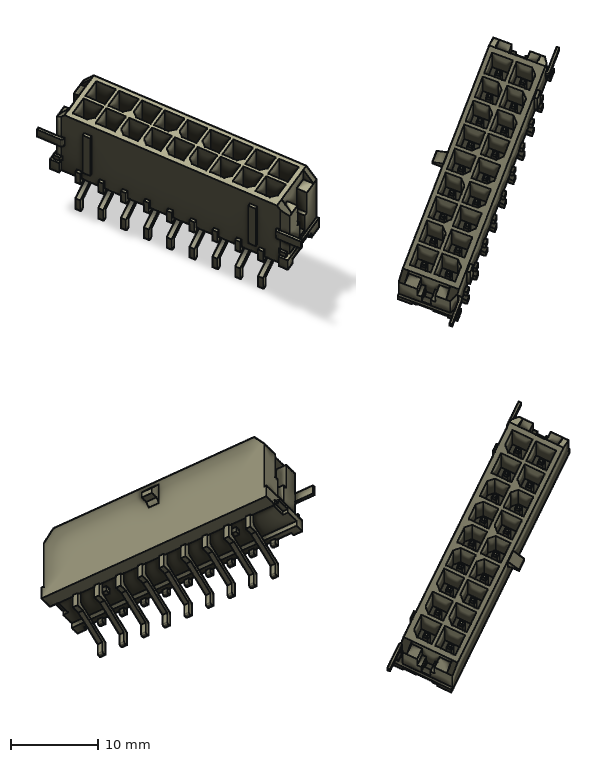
import cadquery as cq

COLUMNS = 9
PITCH = 3.0
ROW_Y = PITCH / 2

TOP_Z = 9.95
BACK_Y = 3.4
FRONT_Y = -3.5
BASE_TOP_Z = 1.65
CORE_HALF_X = 13.95
WALL_HALF_X = 15.3
SHOULDER_Z = 8.28
CORNER_X = 0.9
CORNER_Y = 0.55

RECESS_BACK_Y = 2.67
RECESS_FRONT_Y = -2.43
SLOT_HALF_WIDE = 1.1
SLOT_HALF_NARROW = 0.57
SLOT_STEP_Z = 4.78
SLOT_FLOOR_Z = 2.25
SLOT_POCKET_OUTER_X = 14.65
SLOT_POCKET_HALF_Y = 0.5
SLOT_POCKET_FLOOR_Z = BASE_TOP_Z

BASE_HALF_X = 15.63
BASE_FRONT_Y = -3.95
PAD_INNER_X = 14.4
CHANNEL_BACK_Y = 1.63
CHANNEL_FRONT_Y = -2.77
CHANNEL_TOP_Z = 0.73
END_NOTCH_HALF_Y = 1.0
END_NOTCH_TOP_Z = 1.25
END_NOTCH_DEPTH = 0.7

CAVITY = 2.55
CAVITY_FLOOR_Z = BASE_TOP_Z
KEY = 0.65
BACK_ROW_KEYS = "-RLRLLRR-"
FRONT_ROW_KEYS = "R-LLLLRRR"

PIN = 0.65
PIN_TOP_Z = 6.93
PIN_TIP = 0.3
PIN_TIP_HEIGHT = 0.5
LEAD_FACE_Y = -3.88
TIP_RADIUS = 0.25
FRONT_TAIL_TOP_Z = 1.28
FRONT_TAIL_BOTTOM_Z = -0.73
BACK_LEAD_BOTTOM_Z = -5.45
HEEL_Z = -1.87
HEEL_FRONT_Y = 0.73
BEND_Z = -1.0
BEND_RADIUS = 0.4
KNEE_REAR_Z = -3.85
KNEE_FRONT_Z = -3.43

RIB_X = 10.88
RIB_WIDTH = 0.97
LATCH_WIDTH = 1.42
LATCH_REACH = 1.42
LATCH_TOP_Z = 9.32
LATCH_RAMP_END_Z = 7.73
LATCH_CATCH_Z = 6.95
LATCH_GUSSET_Y = 0.5
LATCH_GUSSET_Z = 6.45
PEG_WIDTH = 0.62
PEG_X = 3 * PITCH

CLIP_INNER_X = 13.93
CLIP_OUTER_X = 17.32
CLIP_Z = (4.7, 5.95)
CLIP_THICKNESS = 0.35
HOOK_INNER_X = 14.17
HOOK_OUTER_X = 15.28
HOOK_Z = (1.87, 2.53)
HOOK_FRONT_Y = -3.8
HOOK_THICKNESS = 0.3
CLIP_ROOT_Y = -3.12

COLUMN_X = [(i - (COLUMNS - 1) / 2) * PITCH for i in range(COLUMNS)]


def box(x0, x1, y0, y1, z0, z1):
    """Box between two opposite corners."""
    return cq.Workplane("XY").box(x1 - x0, y1 - y0, z1 - z0, centered=False).translate((x0, y0, z0))


def yz_prism(points, width, x=0):
    """Outline in the YZ plane, extruded along X and centred on x."""
    return cq.Workplane("YZ").polyline(points).close().extrude(width / 2, both=True).translate((x, 0, 0))


def on_both_ends(solid):
    """The solid together with its mirror image at the other X end."""
    return solid.union(solid.mirror("YZ"))


def make_shell():
    """Cavity block with side walls that overhang both ends and slope in at the top."""
    profile = [
        (-WALL_HALF_X, 0),
        (WALL_HALF_X, 0),
        (WALL_HALF_X, SHOULDER_Z),
        (CORE_HALF_X, TOP_Z),
        (-CORE_HALF_X, TOP_Z),
        (-WALL_HALF_X, SHOULDER_Z),
    ]
    shell = cq.Workplane("XZ").polyline(profile).close().extrude(BACK_Y - FRONT_Y)
    shell = shell.translate((0, BACK_Y, 0))
    corner = cq.Workplane("XY").polyline([
        (WALL_HALF_X, FRONT_Y),
        (WALL_HALF_X - CORNER_X, FRONT_Y),
        (WALL_HALF_X, FRONT_Y + CORNER_Y),
    ]).close().extrude(TOP_Z)
    return shell.cut(on_both_ends(corner))


def make_end_recess():
    """Opening that narrows in steps from above the end posts to a slot with a pocket in its floor."""
    slot_levels = [
        (RECESS_FRONT_Y, RECESS_BACK_Y, SHOULDER_Z),
        (-SLOT_HALF_WIDE, SLOT_HALF_WIDE, SLOT_STEP_Z),
        (-SLOT_HALF_NARROW, SLOT_HALF_NARROW, SLOT_FLOOR_Z),
    ]
    recess = cq.Workplane("XY")
    for front, back, floor in slot_levels:
        recess = recess.union(box(CORE_HALF_X, BASE_HALF_X, front, back, floor, TOP_Z))
    pocket = box(CORE_HALF_X, SLOT_POCKET_OUTER_X, -SLOT_POCKET_HALF_Y, SLOT_POCKET_HALF_Y,
                 SLOT_POCKET_FLOOR_Z, SLOT_FLOOR_Z)
    recess = recess.union(pocket)
    return on_both_ends(recess)


def make_base():
    """Flange at the bottom, with a pad standing proud at each front corner."""
    base = box(-BASE_HALF_X, BASE_HALF_X, FRONT_Y + CORNER_Y, BACK_Y, 0, BASE_TOP_Z)
    pad = box(PAD_INNER_X, BASE_HALF_X, BASE_FRONT_Y, FRONT_Y + CORNER_Y, 0, BASE_TOP_Z)
    return base.union(on_both_ends(pad))


def make_underside_cut():
    """Channel along the underside and a shallow notch above it in each end."""
    channel = box(-BASE_HALF_X, BASE_HALF_X, CHANNEL_FRONT_Y, CHANNEL_BACK_Y, 0, CHANNEL_TOP_Z)
    notch = box(BASE_HALF_X - END_NOTCH_DEPTH, BASE_HALF_X,
                -END_NOTCH_HALF_Y, END_NOTCH_HALF_Y, 0, END_NOTCH_TOP_Z)
    return channel.union(on_both_ends(notch))


def make_cavity(x, y, key):
    """Square cavity with an optional chamfered front corner: L, R or - for none."""
    half = CAVITY / 2
    cavity = box(x - half, x + half, y - half, y + half, CAVITY_FLOOR_Z, TOP_Z)
    if key == "L":
        cavity = cavity.edges("|Z and <X and <Y").chamfer(KEY)
    elif key == "R":
        cavity = cavity.edges("|Z and >X and <Y").chamfer(KEY)
    return cavity


def make_pin(x, y):
    """Square pin standing in a cavity, with a tapered tip."""
    shoulder_z = PIN_TOP_Z - PIN_TIP_HEIGHT
    half = PIN / 2
    shank = box(x - half, x + half, y - half, y + half, CHANNEL_TOP_Z, shoulder_z)
    tip = (
        cq.Workplane("XY", origin=(x, y, shoulder_z)).rect(PIN, PIN)
        .workplane(offset=PIN_TIP_HEIGHT).rect(PIN_TIP, PIN_TIP).loft()
    )
    return shank.union(tip)


def make_front_tail(x):
    """Short straight tail on the front face, with a rounded tip."""
    tail = box(x - PIN / 2, x + PIN / 2, LEAD_FACE_Y, LEAD_FACE_Y + PIN,
               FRONT_TAIL_BOTTOM_Z, FRONT_TAIL_TOP_Z)
    return tail.edges("|X and <Z").fillet(TIP_RADIUS)


def make_back_lead(x):
    """Lead that drops from the back row, slopes forward and ends in a rounded straight tip."""
    rear_y = ROW_Y + PIN / 2
    fore_y = ROW_Y - PIN / 2
    tip_rear_y = LEAD_FACE_Y + PIN
    lead = yz_prism([
        (rear_y, CHANNEL_TOP_Z),
        (rear_y, HEEL_Z),
        (HEEL_FRONT_Y, HEEL_Z),
        (tip_rear_y, KNEE_REAR_Z),
        (tip_rear_y, BACK_LEAD_BOTTOM_Z),
        (LEAD_FACE_Y, BACK_LEAD_BOTTOM_Z),
        (LEAD_FACE_Y, KNEE_FRONT_Z),
        (fore_y, BEND_Z),
        (fore_y, CHANNEL_TOP_Z),
    ], PIN, x)
    lead = lead.edges("|X and <Z").fillet(TIP_RADIUS)
    inner_bend = cq.selectors.NearestToPointSelector((x, fore_y, BEND_Z))
    return lead.edges("|X").edges(inner_bend).fillet(BEND_RADIUS)


def make_latch():
    """Ramped latch at the middle of the back wall."""
    outer_y = BACK_Y + LATCH_REACH
    return yz_prism([
        (BACK_Y, LATCH_TOP_Z),
        (outer_y, LATCH_RAMP_END_Z),
        (outer_y, LATCH_CATCH_Z),
        (BACK_Y + LATCH_GUSSET_Y, LATCH_CATCH_Z),
        (BACK_Y, LATCH_GUSSET_Z),
    ], LATCH_WIDTH)


def make_ribs():
    """Upright rib near each end of the front face."""
    half = RIB_WIDTH / 2
    return on_both_ends(box(RIB_X - half, RIB_X + half, LEAD_FACE_Y, FRONT_Y, BASE_TOP_Z, SHOULDER_Z))


def make_pegs():
    """Square stand-off pegs in the underside channel."""
    half = PEG_WIDTH / 2
    return on_both_ends(box(PEG_X - half, PEG_X + half, -half, half, 0, CHANNEL_TOP_Z))


def make_bent_strip(inner_x, outer_x, front_y, thickness, z_range):
    """Strip lying along the front face whose inner end turns into the housing."""
    z0, z1 = z_range
    arm = box(inner_x, outer_x, front_y, front_y + thickness, z0, z1)
    root = box(inner_x, inner_x + thickness, front_y, CLIP_ROOT_Y, z0, z1)
    return arm.union(root)


def make_clips():
    """Solder clip and small hook at each end."""
    outer_bend = "|Z and <X and <Y"
    clip = make_bent_strip(CLIP_INNER_X, CLIP_OUTER_X, BASE_FRONT_Y, CLIP_THICKNESS, CLIP_Z)
    clip = clip.edges(outer_bend).fillet(CLIP_THICKNESS)
    hook = make_bent_strip(HOOK_INNER_X, HOOK_OUTER_X, HOOK_FRONT_Y, HOOK_THICKNESS, HOOK_Z)
    hook = hook.edges(outer_bend).chamfer(HOOK_THICKNESS)
    return on_both_ends(clip.union(hook))


result = make_shell().cut(make_end_recess()).union(make_base()).cut(make_underside_cut())

for row_y, keys in ((ROW_Y, BACK_ROW_KEYS), (-ROW_Y, FRONT_ROW_KEYS)):
    for column_x, key_corner in zip(COLUMN_X, keys):
        result = result.cut(make_cavity(column_x, row_y, key_corner))
        result = result.union(make_pin(column_x, row_y))

for column_x in COLUMN_X:
    result = result.union(make_front_tail(column_x)).union(make_back_lead(column_x))

for detail in (make_latch(), make_ribs(), make_pegs(), make_clips()):
    result = result.union(detail)